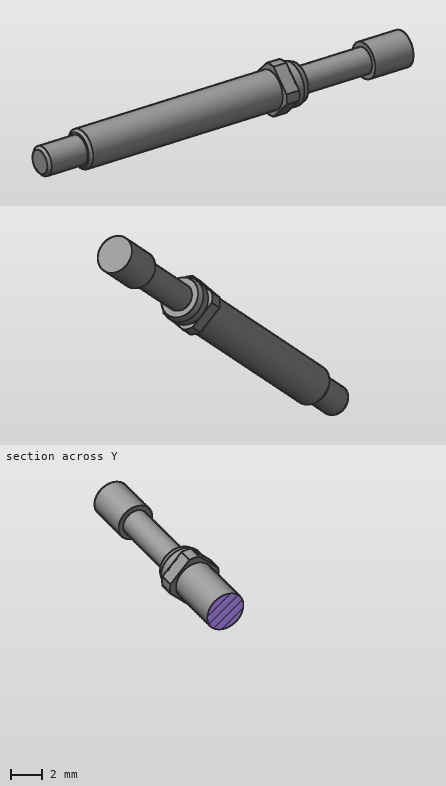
import cadquery as cq

total_length = 28.3
tail_length = 3.0
barrel_length = 15.0
flange_length = 1.0
collar_length = 1.02
collar_taper_length = 0.42
head_length = 3.0

tail_diameter = 2.0
barrel_diameter = 2.7
collar_diameter = 3.0
collar_end_diameter = 2.7
stem_diameter = 1.8
head_diameter = 2.5

flange_corner_diameter = 3.6
flange_across_flats = 3.0
flange_turn = 45.0

tip_chamfer = 0.2
barrel_chamfer = 0.2

barrel_start = tail_length
flange_start = barrel_start + barrel_length
collar_start = flange_start + flange_length
taper_start = collar_start + collar_length - collar_taper_length
stem_start = collar_start + collar_length
head_start = total_length - head_length


def make_turned_body():
    """Revolve the half profile of every round section about the Y axis."""
    tail_radius = tail_diameter / 2
    barrel_radius = barrel_diameter / 2
    collar_radius = collar_diameter / 2
    collar_end_radius = collar_end_diameter / 2
    stem_radius = stem_diameter / 2
    head_radius = head_diameter / 2
    profile = [
        (0, 0),
        (tail_radius - tip_chamfer, 0),
        (tail_radius, tip_chamfer),
        (tail_radius, barrel_start),
        (barrel_radius - barrel_chamfer, barrel_start),
        (barrel_radius, barrel_start + barrel_chamfer),
        (barrel_radius, collar_start),
        (collar_radius, collar_start),
        (collar_radius, taper_start),
        (collar_end_radius, stem_start),
        (stem_radius, stem_start),
        (stem_radius, head_start),
        (head_radius, head_start),
        (head_radius, total_length),
        (0, total_length),
    ]
    return cq.Workplane("XY").polyline(profile).close().revolve(360, (0, 0, 0), (0, 1, 0))


def make_flange():
    """Intersect a square standing on its corner with a disc that rounds the corners."""
    plane = cq.Workplane("XZ", origin=(0, flange_start, 0))
    disc = plane.circle(flange_corner_diameter / 2).extrude(-flange_length)
    square = (
        plane.transformed(rotate=(0, 0, flange_turn))
        .rect(flange_across_flats, flange_across_flats)
        .extrude(-flange_length)
    )
    return disc.intersect(square)


result = make_turned_body().union(make_flange())